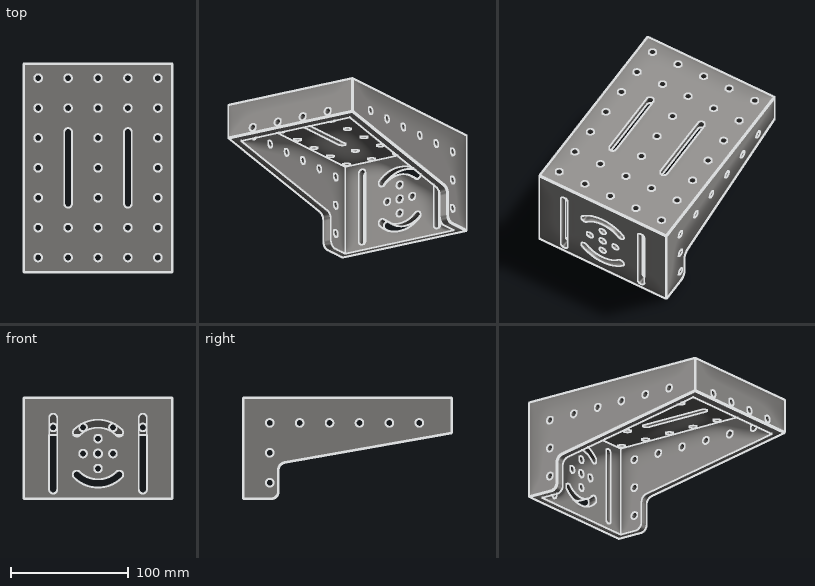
import cadquery as cq
import math

width = 127.0
length = 177.8
height = 86.36
wall = 8.255
edge_chamfer = 0.762

rear_height = 30.48
slope_angle = 10.0
leg_depth = 30.48
leg_radius = 6.35

pitch = 25.4
hole_diameter = 6.35

grid_columns = 5
grid_rows = 7
slot_spacing = 60.96
slot_column = 1
slot_rows = 1

side_hole_from_front = 22.86
side_hole_from_top = 21.59
side_row_count = 6
side_column_count = 3

pattern_height = 38.735
bolt_circle_radius = pitch / 2
bolt_count = 4
centre_hole_diameter = 6.7
arc_radius = pitch
arc_slot_width = 6.75
arc_half_angle = 45.0
front_slot_offset = 1.5 * pitch
front_slot_width = 6.75

rear_hole_from_top = pitch
rear_hole_count = 4

front_y = -length / 2
rear_y = length / 2
leg_y = front_y + leg_depth
cut_depth = 2 * wall


def make_body():
    """Side profile swept across the width, with its outer edges chamfered."""
    rear_z = height - rear_height
    slope_drop = (rear_y - leg_y) * math.tan(math.radians(slope_angle))
    profile = [
        (front_y, 0),
        (leg_y, 0),
        (leg_y, rear_z - slope_drop),
        (rear_y, rear_z),
        (rear_y, height),
        (front_y, height),
    ]
    block = cq.Workplane("YZ").polyline(profile).close().extrude(width / 2, both=True)
    leg_edges = cq.selectors.BoxSelector(
        (-width, leg_y - leg_radius, -leg_radius),
        (width, leg_y + leg_radius, rear_z),
    )
    block = block.edges("|X").edges(leg_edges).fillet(leg_radius)
    return block.faces("<X or >X or <Y or >Y or >Z").edges().chamfer(edge_chamfer)


def make_cavity():
    """Inside space, open underneath, leaving the top and four side walls."""
    return (
        cq.Workplane("XY")
        .rect(width - 2 * wall, length - 2 * wall)
        .extrude(height - wall)
    )


def evenly_spaced(count):
    """Positions one pitch apart, centred on zero."""
    return [(i - (count - 1) / 2) * pitch for i in range(count)]


def make_top_cuts():
    """Hole grid and lengthwise slots through the top wall."""
    slot_x = slot_column * pitch
    slot_y = slot_rows * pitch
    hole_points = [
        (x, y)
        for x in evenly_spaced(grid_columns)
        for y in evenly_spaced(grid_rows)
        if not (abs(x) == slot_x and abs(y) <= slot_y)
    ]
    plane = cq.Workplane("XY").workplane(offset=height)
    holes = plane.pushPoints(hole_points).circle(hole_diameter / 2).extrude(-cut_depth)
    slots = (
        plane.pushPoints([(-slot_x, 0), (slot_x, 0)])
        .slot2D(slot_spacing + hole_diameter, hole_diameter, 90)
        .extrude(-cut_depth)
    )
    return holes.union(slots)


def make_side_cuts():
    """Holes running right across the part through both side walls."""
    first_y = front_y + side_hole_from_front
    first_z = height - side_hole_from_top
    row = [(first_y + i * pitch, first_z) for i in range(side_row_count)]
    column = [(first_y, first_z - i * pitch) for i in range(1, side_column_count)]
    return (
        cq.Workplane("YZ")
        .pushPoints(row + column)
        .circle(hole_diameter / 2)
        .extrude(width, both=True)
    )


def make_arc_slot(plane):
    """Cutter for the arc slot above the pattern centre, with rounded ends."""
    half_angle = math.radians(arc_half_angle)
    end_radius = arc_slot_width / 2
    inner = arc_radius - end_radius
    outer = arc_radius + end_radius
    sine = math.sin(half_angle)
    cosine = math.cos(half_angle)
    tip_z = arc_radius * cosine - end_radius * sine
    tip_x = arc_radius * sine + end_radius * cosine
    return (
        plane.moveTo(-outer * sine, outer * cosine)
        .threePointArc((0, outer), (outer * sine, outer * cosine))
        .threePointArc((tip_x, tip_z), (inner * sine, inner * cosine))
        .threePointArc((0, inner), (-inner * sine, inner * cosine))
        .threePointArc((-tip_x, tip_z), (-outer * sine, outer * cosine))
        .close()
        .extrude(-cut_depth)
    )


def make_front_cuts():
    """Bolt pattern, arc slots and vertical slots through the front wall."""
    plane = cq.Workplane("XZ", origin=(0, front_y, pattern_height))
    centre_hole = plane.circle(centre_hole_diameter / 2).extrude(-cut_depth)
    bolt_holes = (
        plane.polarArray(bolt_circle_radius, 0, 360, bolt_count)
        .circle(hole_diameter / 2)
        .extrude(-cut_depth)
    )
    slots = (
        plane.pushPoints([(-front_slot_offset, 0), (front_slot_offset, 0)])
        .slot2D(slot_spacing + front_slot_width, front_slot_width, 90)
        .extrude(-cut_depth)
    )
    upper_arc = make_arc_slot(plane)
    lower_arc = upper_arc.rotate((0, 0, pattern_height), (0, 1, pattern_height), 180)
    return centre_hole.union(bolt_holes).union(slots).union(upper_arc).union(lower_arc)


def make_rear_cuts():
    """Row of holes through the rear wall."""
    return (
        cq.Workplane("XZ", origin=(0, rear_y, height - rear_hole_from_top))
        .pushPoints([(x, 0) for x in evenly_spaced(rear_hole_count)])
        .circle(hole_diameter / 2)
        .extrude(cut_depth)
    )


result = (
    make_body()
    .cut(make_cavity())
    .cut(make_top_cuts())
    .cut(make_side_cuts())
    .cut(make_front_cuts())
    .cut(make_rear_cuts())
)